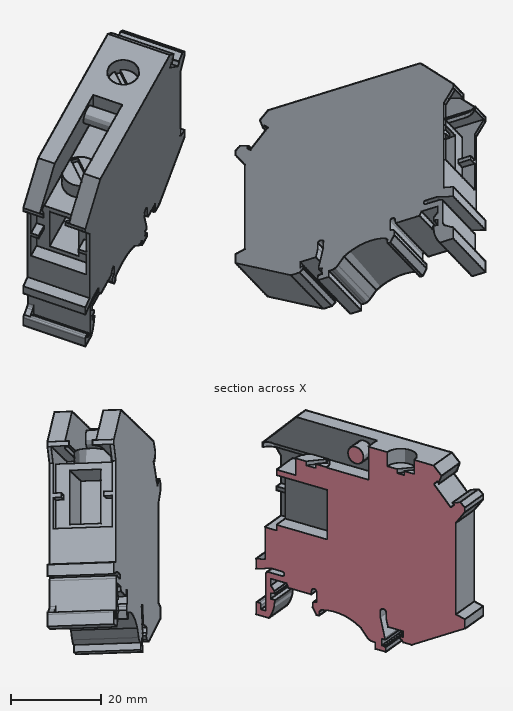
import cadquery as cq


WIDTH = 15.0
LENGTH = 54.9
HEIGHT = 49.8
HALF_LENGTH = LENGTH / 2

WALL_Y = 25.1
TOP_CORNER_Y = 19.2
EAVES_TOP_Z = HEIGHT - (HALF_LENGTH - TOP_CORNER_Y)
EAVES_BOTTOM_Z = 40.45
WALL_TOP_Z = 37.15
SHELF_ROOT_Z = 14.45
SHELF_EDGE_Z = 13.87
SHELF_UNDERSIDE_Z = 11.3
ARM_OUTER_Y = -24.87
ARM_INNER_Y = -23.5
ARM_TOP_Z = 11.5
ARM_BOTTOM_Z = 9.9
ARM_CORNER_RADIUS = 0.7
RELIEF_TOP_Z = 12.5
RELIEF_BEND_Y = -23.4
RELIEF_END_Y = -20.05
RELIEF_END_BULGE = 0.5
FOOT_STEP_Z = 5.0
RAIL_SEAT_Z = 8.9
RAIL_SLOT_TOP_Z = 10.5
REAR_SEAT_Z = 6.35
REAR_TOE_Z = 3.6
RAIL_SLOT_SHOULDER_Z = 10.0
CATCH_BACK_Y = -11.6
CATCH_TIP_Y = -12.6
CATCH_BOTTOM_Z = 4.15
CATCH_INNER_Y = -10.8
REAR_FOOT_FRONT_Y = 3.85
REAR_FOOT_BACK_Y = 6.63
REAR_FOOT_TOP_Z = 1.6
REAR_NOTCH_Y = 5.65
REAR_NOTCH_BOTTOM_Z = 1.4
REAR_NOTCH_TOP_Z = 2.95
REAR_SLOT_FRONT_Y = 5.25
REAR_LEG_BACK_Y = 6.45
REAR_TOE_ROOT_Y = 11.15
REAR_TOE_TIP_Y = 10.35
REAR_SLOPE_TOP_Z = 11.5

CHANNEL_WIDTH = 7.0
CHANNEL_BACK_Y = 2.07
CHANNEL_FLOOR_Z = 41.6
PIN_RADIUS = 2.1
PIN_Y = -1.25
PIN_Z = 46.72

CHAMBER_WIDTH = 13.3
CHAMBER_BOTTOM_Z = 22.4
CHAMBER_TOP_Z = 40.5
CLAMP_FRONT_Y = -22.0
CLAMP_TOP_Z = 37.5
WINDOW_WIDTH = CHANNEL_WIDTH
WINDOW_BOTTOM_Z = 23.8
WINDOW_TOP_Z = 36.0
RIB_LENGTH = 1.85
RIB_BOTTOM_Z = 29.4
RIB_TOP_Z = 30.4

SCREW_Y = -12.95
SCREW_RADIUS = 4.13
SCREW_TOP_Z = 41.7
SCREW_SLOT_LENGTH = 7.2
SCREW_SLOT_WIDTH = 1.65
OPENING_FRONT_Y = -24.0
MOUTH_WIDTH = 5.3
CHAMBER_BACK_Y = SCREW_Y + SCREW_RADIUS

REAR_SCREW_Y = 10.6
REAR_HOLE_RADIUS = 3.5
REAR_HOLE_DEPTH = 3.5
REAR_SLOT_WIDTH = 1.25

SCREW_SLOT_DEPTH = 1.0
SCREW_SLOT_ANGLE = -45.0

GROOVE_START_X = -6.05
GROOVE_FRONT_Y = -26.05
GROOVE_BOTTOM_Z = 1.7
FOOT_LIP_Z = 3.23
LIP_RADIUS = 0.48
LIP_FRONT_Y = LIP_RADIUS - HALF_LENGTH


def box(x_range, y_range, z_range):
    """Box between two X, two Y and two Z positions."""
    (x0, x1), (y0, y1), (z0, z1) = x_range, y_range, z_range
    return cq.Workplane("XY").box(x1 - x0, y1 - y0, z1 - z0, centered=False).translate((x0, y0, z0))


def centred_box(width, y_range, z_range):
    """Box of the given width, centred on X."""
    return box((-width / 2, width / 2), y_range, z_range)


def upright_cylinder(radius, y, z_bottom, z_top):
    """Vertical cylinder on the X centre line."""
    return cq.Workplane("XY", origin=(0, y, z_bottom)).circle(radius).extrude(z_top - z_bottom)


def lines(path, points):
    """Continue an outline through the points with straight lines."""
    for point in points:
        path = path.lineTo(*point)
    return path


def draw_front(path):
    """Outline from the top corner down the front to the slit above the arm."""
    path = lines(path, [
        (-HALF_LENGTH, EAVES_TOP_Z),
        (-HALF_LENGTH, EAVES_BOTTOM_Z),
        (-WALL_Y, WALL_TOP_Z),
        (-WALL_Y, SHELF_ROOT_Z),
        (-HALF_LENGTH, SHELF_EDGE_Z),
        (-HALF_LENGTH, SHELF_UNDERSIDE_Z),
    ])
    path = path.lineTo(RELIEF_BEND_Y, RELIEF_TOP_Z)
    path = path.lineTo(RELIEF_END_Y - RELIEF_END_BULGE, RELIEF_TOP_Z)
    return path.threePointArc(
        (RELIEF_END_Y, (RELIEF_TOP_Z + ARM_TOP_Z) / 2),
        (RELIEF_END_Y - RELIEF_END_BULGE, ARM_TOP_Z),
    )


def draw_front_foot(path):
    """Outline of the sprung arm, the front foot and its two catches."""
    path = path.lineTo(ARM_OUTER_Y + ARM_CORNER_RADIUS, ARM_TOP_Z)
    path = path.radiusArc((ARM_OUTER_Y, ARM_TOP_Z - ARM_CORNER_RADIUS), -ARM_CORNER_RADIUS)
    path = path.lineTo(ARM_OUTER_Y, FOOT_STEP_Z)
    path = path.threePointArc((-25.1, 4.5), (-25.55, 4.12))
    path = path.lineTo(LIP_FRONT_Y, FOOT_LIP_Z)
    path = path.threePointArc((-27.32, 3.08), (-HALF_LENGTH, FOOT_LIP_Z - LIP_RADIUS))
    path = lines(path, [
        (-HALF_LENGTH, 0),
        (-24.05, 0),
    ])
    path = path.threePointArc((-22.95, 2.0), (-22.5, 4.2))
    return lines(path, [
        (-22.3, FOOT_STEP_Z),
        (ARM_INNER_Y, FOOT_STEP_Z),
        (ARM_INNER_Y, 6.35),
        (-22.5, 6.5),
        (-22.5, 7.2),
        (ARM_INNER_Y, 8.3),
        (ARM_INNER_Y, ARM_BOTTOM_Z),
        (-19.45, ARM_BOTTOM_Z),
        (-18.95, RAIL_SEAT_Z),
    ])


def draw_rail_arch(path):
    """Outline of the front rail slot, the catch beside it and the arch over the rail."""
    path = lines(path, [(-12.97, RAIL_SEAT_Z), (-12.75, RAIL_SLOT_SHOULDER_Z)])
    path = path.threePointArc((-12.2, RAIL_SLOT_TOP_Z), (CATCH_BACK_Y, RAIL_SLOT_SHOULDER_Z))
    path = lines(path, [(CATCH_BACK_Y, 7.5), (-12.2, 7.3)])
    path = path.threePointArc((-12.5, 7.1), (CATCH_TIP_Y, 6.8))
    path = lines(path, [
        (CATCH_TIP_Y, 5.85),
        (CATCH_BACK_Y, CATCH_BOTTOM_Z),
        (-10.95, CATCH_BOTTOM_Z),
        (CATCH_INNER_Y, 4.4),
        (CATCH_INNER_Y, 5.2),
    ])
    path = path.threePointArc((-10.5, 5.6), (-10.0, 5.85))
    path = path.threePointArc((-4.5, 6.05), (0.05, 4.2))
    path = path.lineTo(1.6, 2.4)
    return path.threePointArc((2.25, 1.85), (3.1, REAR_FOOT_TOP_Z))


def draw_rear_foot(path):
    """Outline of the rear foot, the sloping rail slot and the rear toe."""
    path = lines(path, [
        (REAR_FOOT_FRONT_Y, REAR_FOOT_TOP_Z),
        (REAR_FOOT_FRONT_Y, 0),
        (REAR_FOOT_BACK_Y, 0),
        (REAR_FOOT_BACK_Y, 1.2),
        (6.3, REAR_NOTCH_BOTTOM_Z),
        (REAR_NOTCH_Y, REAR_NOTCH_BOTTOM_Z),
        (REAR_NOTCH_Y, REAR_NOTCH_TOP_Z),
        (REAR_LEG_BACK_Y, REAR_NOTCH_TOP_Z),
        (REAR_LEG_BACK_Y, 3.5),
        (REAR_SLOT_FRONT_Y, 8.4),
        (REAR_SLOT_FRONT_Y, RAIL_SLOT_SHOULDER_Z),
    ])
    path = path.threePointArc((5.95, RAIL_SLOT_TOP_Z), (REAR_FOOT_BACK_Y, RAIL_SLOT_SHOULDER_Z))
    return lines(path, [
        (REAR_FOOT_BACK_Y, 8.6),
        (7.15, REAR_SEAT_Z),
        (REAR_TOE_ROOT_Y, REAR_SEAT_Z),
        (REAR_TOE_ROOT_Y, FOOT_STEP_Z),
        (REAR_TOE_TIP_Y, FOOT_STEP_Z),
        (REAR_TOE_TIP_Y, 4.4),
        (11.25, REAR_TOE_Z),
        (13.45, REAR_TOE_Z),
    ])


def draw_rear(path):
    """Outline up the rear wall, round the marker hooks and back to the flat top."""
    path = lines(path, [
        (HALF_LENGTH, REAR_SLOPE_TOP_Z),
        (HALF_LENGTH, SHELF_EDGE_Z),
        (WALL_Y, SHELF_ROOT_Z),
        (WALL_Y, WALL_TOP_Z),
        (HALF_LENGTH, EAVES_BOTTOM_Z),
        (HALF_LENGTH, 41.6),
        (26.2, 42.6),
        (24.1, 41.85),
        (24.5, 41.45),
        (23.7, 40.65),
        (19.3, 45.2),
        (20.15, 46.0),
        (20.5, 45.5),
        (21.3, 47.8),
    ])
    return path.lineTo(TOP_CORNER_Y, HEIGHT)


def make_body():
    path = cq.Workplane("YZ", origin=(-WIDTH / 2, 0, 0)).moveTo(-TOP_CORNER_Y, HEIGHT)
    for draw_section in (draw_front, draw_front_foot, draw_rail_arch, draw_rear_foot, draw_rear):
        path = draw_section(path)
    return path.close().extrude(WIDTH)


def cut_channel(body):
    """Cut the top channel and leave the round pin across it."""
    channel = centred_box(CHANNEL_WIDTH, (-HALF_LENGTH, CHANNEL_BACK_Y), (CHANNEL_FLOOR_Z, HEIGHT))
    pin = (
        cq.Workplane("YZ", origin=(-CHANNEL_WIDTH / 2, PIN_Y, PIN_Z))
        .circle(PIN_RADIUS)
        .extrude(CHANNEL_WIDTH)
    )
    return body.cut(channel.cut(pin))


def cut_chamber(body):
    """Cut the wire chamber, leaving the clamp with its window and the two side ribs."""
    front = (-HALF_LENGTH, CLAMP_FRONT_Y)
    chamber = centred_box(CHAMBER_WIDTH, front, (CHAMBER_BOTTOM_Z, CHAMBER_TOP_Z))
    above_clamp = centred_box(
        CHAMBER_WIDTH, (CLAMP_FRONT_Y, CHAMBER_BACK_Y), (CLAMP_TOP_Z, CHAMBER_TOP_Z)
    )
    window = centred_box(
        WINDOW_WIDTH, (CLAMP_FRONT_Y, CHAMBER_BACK_Y), (WINDOW_BOTTOM_Z, WINDOW_TOP_Z)
    )
    body = body.cut(chamber).cut(above_clamp).cut(window)
    half = CHAMBER_WIDTH / 2
    for x_range in ((-half, RIB_LENGTH - half), (half - RIB_LENGTH, half)):
        body = body.union(box(x_range, (-WALL_Y, CLAMP_FRONT_Y), (RIB_BOTTOM_Z, RIB_TOP_Z)))
    return body


def cut_screw_opening(body):
    """Cut the opening, rounded at both ends, between the channel and the chamber."""
    plate = (CHAMBER_TOP_Z, CHANNEL_FLOOR_Z)
    opening = centred_box(2 * SCREW_RADIUS, (OPENING_FRONT_Y, SCREW_Y), plate)
    for end_y in (OPENING_FRONT_Y, SCREW_Y):
        opening = opening.union(upright_cylinder(SCREW_RADIUS, end_y, *plate))
    opening = opening.union(centred_box(MOUTH_WIDTH, (-HALF_LENGTH, OPENING_FRONT_Y), plate))
    return body.cut(opening)


def screwdriver_slot(length, width, y, z_top):
    return (
        cq.Workplane("XY", origin=(0, y, z_top - SCREW_SLOT_DEPTH))
        .transformed(rotate=(0, 0, SCREW_SLOT_ANGLE))
        .rect(length, width)
        .extrude(SCREW_SLOT_DEPTH)
    )


def add_front_screw(body):
    body = body.union(upright_cylinder(SCREW_RADIUS, SCREW_Y, CLAMP_TOP_Z, SCREW_TOP_Z))
    return body.cut(screwdriver_slot(SCREW_SLOT_LENGTH, SCREW_SLOT_WIDTH, SCREW_Y, SCREW_TOP_Z))


def cut_rear_screw(body):
    floor_z = HEIGHT - REAR_HOLE_DEPTH
    hole = upright_cylinder(REAR_HOLE_RADIUS, REAR_SCREW_Y, floor_z, HEIGHT)
    slot = screwdriver_slot(2 * REAR_HOLE_RADIUS, REAR_SLOT_WIDTH, REAR_SCREW_Y, floor_z)
    below_hole = upright_cylinder(REAR_HOLE_RADIUS, REAR_SCREW_Y, floor_z - SCREW_SLOT_DEPTH, floor_z)
    return body.cut(hole).cut(slot.intersect(below_hole))


def cut_foot_groove(body):
    path = lines(cq.Workplane("YZ", origin=(GROOVE_START_X, 0, 0)).moveTo(ARM_OUTER_Y, FOOT_STEP_Z), [
        (ARM_OUTER_Y, GROOVE_BOTTOM_Z),
        (GROOVE_FRONT_Y, GROOVE_BOTTOM_Z),
        (GROOVE_FRONT_Y, FOOT_LIP_Z - LIP_RADIUS),
    ])
    path = path.radiusArc((GROOVE_FRONT_Y - LIP_RADIUS, FOOT_LIP_Z), -LIP_RADIUS)
    path = lines(path, [(-HALF_LENGTH, FOOT_LIP_Z), (-HALF_LENGTH, FOOT_STEP_Z)])
    groove = path.close().extrude(WIDTH / 2 - GROOVE_START_X)
    return body.cut(groove)


result = make_body()
result = cut_channel(result)
result = cut_chamber(result)
result = cut_screw_opening(result)
result = add_front_screw(result)
result = cut_rear_screw(result)
result = cut_foot_groove(result)